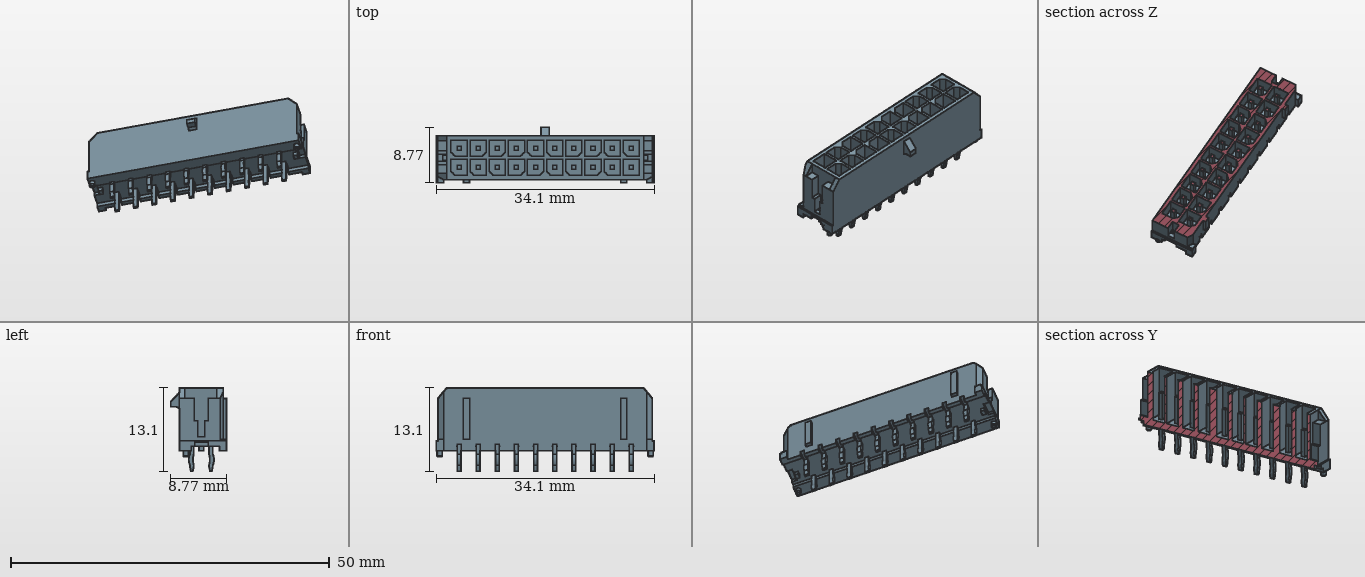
import cadquery as cq


COLUMNS = 10
PITCH = 3.0
COLUMN_X = [(i - (COLUMNS - 1) / 2) * PITCH for i in range(COLUMNS)]
BACK_ROW_Y = PITCH / 2
FRONT_ROW_Y = -BACK_ROW_Y

BODY_LENGTH = 33.65
BODY_WIDTH = 6.91
BODY_HEIGHT = 9.91
HALF_LENGTH = BODY_LENGTH / 2
HALF_WIDTH = BODY_WIDTH / 2
FRONT_Y = -HALF_WIDTH
SHOULDER_Z = 8.25
END_BEVEL_LENGTH = 1.4
TOP_END_X = HALF_LENGTH - END_BEVEL_LENGTH
FRONT_CORNER_X = 0.93
FRONT_CORNER_Y = 0.5

TOP_RECESS_BACK_Y = 2.63
TOP_RECESS_FRONT_Y = -2.4
WIDE_SLOT_WIDTH = 2.2
WIDE_SLOT_FLOOR_Z = 4.72
NARROW_SLOT_WIDTH = 1.12
NARROW_SLOT_FLOOR_Z = 2.26
FLOOR_HOLE_INSET = 0.75
FLOOR_HOLE_WIDTH = 0.78
FLOOR_HOLE_DEPTH = 0.85

OVERALL_LENGTH = 34.15
FLANGE_THICKNESS = (OVERALL_LENGTH - BODY_LENGTH) / 2
FLANGE_HEIGHT = 1.6
FRONT_PROJECTION = 0.5
LUG_BACK_Y = -2.82
LUG_HEIGHT = 1.86
UNDERSIDE_DEPTH = 0.73
UNDERSIDE_BACK_Y = 1.59
UNDERSIDE_FRONT_Y = -2.82
FLANGE_NOTCH_WIDTH = 2.08
FLANGE_NOTCH_TOP_Z = 1.35
FLANGE_NOTCH_DEPTH = 0.9

RIB_X = 12.32
RIB_WIDTH = 0.98
LATCH_WIDTH = 1.3
LATCH_PROJECTION = 1.36
LATCH_RAMP_TOP_Z = 9.17
LATCH_NOSE_TOP_Z = 7.73
LATCH_NOSE_BOTTOM_Z = 6.9
LATCH_RELIEF_Y = 0.45
LATCH_RELIEF_Z = 0.25

SOCKET_SIZE = 2.54
SOCKET_BEVEL = 0.65
SOCKET_FLOOR_Z = 2.0
BACK_ROW_KEYS = "LRRRLLRRLL"
FRONT_ROW_KEYS = "LLLRRLLRLN"

PIN_SIZE = 0.64
PIN_TOP_Z = 6.5
OVERALL_HEIGHT = 13.09
PIN_BOTTOM_Z = BODY_HEIGHT - OVERALL_HEIGHT
BOW_TOP_Z = -0.5
BOW_BOTTOM_Z = -2.2
BOW_MIDDLE_Z = (BOW_TOP_Z + BOW_BOTTOM_Z) / 2
BOW_OUTER = 0.18
BOW_INNER = 0.13
TAPER_TOP_Z = -2.42
TIP_WIDTH = 0.32
PIN_NOTCH_TOP_Z = 1.04

PEG_X = 16.53
PEG_Y = 2.44
PEG_DIAMETER = 0.86
PEG_TIP_DIAMETER = 0.5
PEG_SHANK = 0.72
PEG_TIP_LENGTH = 0.22


def block(x0, x1, y0, y1, z0, z1):
    """Box between two opposite corners."""
    return cq.Workplane("XY").box(x1 - x0, y1 - y0, z1 - z0, centered=False).translate((x0, y0, z0))


def on_both_ends(shape):
    """The shape at the +X end together with its mirror image at the -X end."""
    return shape.union(shape.mirror("YZ"))


def housing_block():
    outline = [
        (-HALF_LENGTH, 0),
        (HALF_LENGTH, 0),
        (HALF_LENGTH, SHOULDER_Z),
        (TOP_END_X, BODY_HEIGHT),
        (-TOP_END_X, BODY_HEIGHT),
        (-HALF_LENGTH, SHOULDER_Z),
    ]
    body = cq.Workplane("XZ").polyline(outline).close().extrude(HALF_WIDTH, both=True)
    corner = [
        (HALF_LENGTH, FRONT_Y),
        (HALF_LENGTH, FRONT_Y + FRONT_CORNER_Y),
        (HALF_LENGTH - FRONT_CORNER_X, FRONT_Y),
    ]
    return body.cut(on_both_ends(cq.Workplane("XY").polyline(corner).close().extrude(BODY_HEIGHT)))


def end_recess():
    """Cut-out in the +X end: a wide opening that steps down to a narrow slot and a floor hole."""
    opening = block(TOP_END_X, HALF_LENGTH, TOP_RECESS_FRONT_Y, TOP_RECESS_BACK_Y, SHOULDER_Z, BODY_HEIGHT)
    half_wide = WIDE_SLOT_WIDTH / 2
    wide = block(TOP_END_X, HALF_LENGTH, -half_wide, half_wide, WIDE_SLOT_FLOOR_Z, SHOULDER_Z)
    half_narrow = NARROW_SLOT_WIDTH / 2
    narrow = block(
        TOP_END_X, HALF_LENGTH, -half_narrow, half_narrow, NARROW_SLOT_FLOOR_Z, WIDE_SLOT_FLOOR_Z
    )
    half_hole = FLOOR_HOLE_WIDTH / 2
    hole = block(
        TOP_END_X, HALF_LENGTH - FLOOR_HOLE_INSET, -half_hole, half_hole,
        NARROW_SLOT_FLOOR_Z - FLOOR_HOLE_DEPTH, NARROW_SLOT_FLOOR_Z,
    )
    return opening.union(wide).union(narrow).union(hole)


def base_flange():
    """Thin plate across the foot of the +X end, with a taller lug at the front corner."""
    front = FRONT_Y - FRONT_PROJECTION
    plate = block(HALF_LENGTH, HALF_LENGTH + FLANGE_THICKNESS, front, HALF_WIDTH, 0, FLANGE_HEIGHT)
    lug = block(HALF_LENGTH - FRONT_CORNER_X, HALF_LENGTH, front, LUG_BACK_Y, 0, LUG_HEIGHT)
    return plate.union(lug)


def underside_channel():
    half = OVERALL_LENGTH / 2
    return block(-half, half, UNDERSIDE_FRONT_Y, UNDERSIDE_BACK_Y, 0, UNDERSIDE_DEPTH)


def flange_notch():
    half = FLANGE_NOTCH_WIDTH / 2
    end = OVERALL_LENGTH / 2
    return block(end - FLANGE_NOTCH_DEPTH, end, -half, half, UNDERSIDE_DEPTH, FLANGE_NOTCH_TOP_Z)


def underside_post():
    half = FLOOR_HOLE_WIDTH / 2
    return block(TOP_END_X, HALF_LENGTH - FLOOR_HOLE_INSET, -half, half, 0, UNDERSIDE_DEPTH)


def front_rib():
    half = RIB_WIDTH / 2
    return block(RIB_X - half, RIB_X + half, FRONT_Y - FRONT_PROJECTION, FRONT_Y, LUG_HEIGHT, SHOULDER_Z)


def latch_ramp():
    nose_y = HALF_WIDTH + LATCH_PROJECTION
    profile = [
        (HALF_WIDTH, LATCH_RAMP_TOP_Z),
        (nose_y, LATCH_NOSE_TOP_Z),
        (nose_y, LATCH_NOSE_BOTTOM_Z),
        (HALF_WIDTH + LATCH_RELIEF_Y, LATCH_NOSE_BOTTOM_Z),
        (HALF_WIDTH, LATCH_NOSE_BOTTOM_Z - LATCH_RELIEF_Z),
    ]
    return cq.Workplane("YZ").polyline(profile).close().extrude(LATCH_WIDTH / 2, both=True)


def peg():
    shank = cq.Workplane("XY").circle(PEG_DIAMETER / 2).extrude(-PEG_SHANK)
    tip = (
        cq.Workplane("XY").workplane(offset=-PEG_SHANK).circle(PEG_DIAMETER / 2)
        .workplane(offset=-PEG_TIP_LENGTH).circle(PEG_TIP_DIAMETER / 2).loft()
    )
    return shank.union(tip).translate((PEG_X, PEG_Y, 0))


def socket(x, y, key):
    """Square pocket with one front corner bevelled for keying."""
    half = SOCKET_SIZE / 2
    pocket = cq.Workplane("XY").rect(SOCKET_SIZE, SOCKET_SIZE).extrude(BODY_HEIGHT - SOCKET_FLOOR_Z)
    if key != "N":
        side = -1 if key == "L" else 1
        bevel = [
            (side * half, -half),
            (side * half, -half + SOCKET_BEVEL),
            (side * (half - SOCKET_BEVEL), -half),
        ]
        pocket = pocket.cut(cq.Workplane("XY").polyline(bevel).close().extrude(BODY_HEIGHT))
    return pocket.translate((x, y, SOCKET_FLOOR_Z))


def back_pin():
    """Back-row contact whose tail bows toward +Y and tapers to a blunt tip."""
    inner = BACK_ROW_Y - PIN_SIZE / 2
    outer = BACK_ROW_Y + PIN_SIZE / 2
    return (
        cq.Workplane("YZ")
        .moveTo(inner, PIN_TOP_Z)
        .lineTo(outer, PIN_TOP_Z)
        .lineTo(outer, BOW_TOP_Z)
        .threePointArc((outer + BOW_OUTER, BOW_MIDDLE_Z), (outer, BOW_BOTTOM_Z))
        .lineTo(outer, TAPER_TOP_Z)
        .lineTo(BACK_ROW_Y + TIP_WIDTH / 2, PIN_BOTTOM_Z)
        .lineTo(BACK_ROW_Y - TIP_WIDTH / 2, PIN_BOTTOM_Z)
        .lineTo(inner, TAPER_TOP_Z)
        .lineTo(inner, BOW_BOTTOM_Z)
        .threePointArc((inner + BOW_INNER, BOW_MIDDLE_Z), (inner, BOW_TOP_Z))
        .close()
        .extrude(PIN_SIZE / 2, both=True)
    )


def pin_notch(x):
    """Slot through the foot of the front wall, reaching in to the front pin row."""
    half = PIN_SIZE / 2
    return block(x - half, x + half, FRONT_Y, FRONT_ROW_Y, 0, PIN_NOTCH_TOP_Z)


body = housing_block().cut(on_both_ends(end_recess())).union(on_both_ends(base_flange()))
body = body.cut(underside_channel()).cut(on_both_ends(flange_notch()))
body = body.union(on_both_ends(underside_post())).union(on_both_ends(front_rib()))
body = body.union(latch_ramp()).union(on_both_ends(peg()))

for column_x, back_key, front_key in zip(COLUMN_X, BACK_ROW_KEYS, FRONT_ROW_KEYS):
    body = body.cut(socket(column_x, BACK_ROW_Y, back_key))
    body = body.cut(socket(column_x, FRONT_ROW_Y, front_key))
    body = body.cut(pin_notch(column_x))

pin_pair = back_pin().union(back_pin().mirror("XZ"))
for column_x in COLUMN_X:
    body = body.union(pin_pair.translate((column_x, 0, 0)))

result = body